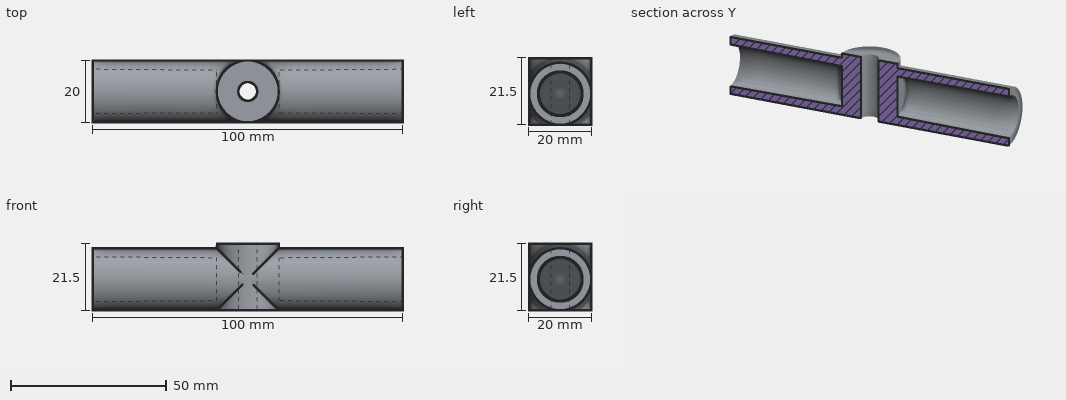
import cadquery as cq

tube_length = 100.0
tube_diameter = 20.0
collar_height = 1.5
pin_hole_diameter = 6.0
bore_mouth_diameter = 14.4
bore_floor_diameter = 13.8
bore_depth = 40.0

tube_radius = tube_diameter / 2
hub_height = tube_diameter + collar_height
tube_end = tube_length / 2


def make_tube():
    """Solid bar along X, centred on the origin."""
    return cq.Workplane("YZ").circle(tube_radius).extrude(tube_end, both=True)


def make_hub():
    """Upright hub, as wide as the tube, standing proud on top only."""
    return (
        cq.Workplane("XY")
        .workplane(offset=-tube_radius)
        .circle(tube_radius)
        .extrude(hub_height)
    )


def make_pin_hole():
    """Cutter for the vertical hole through the hub."""
    return (
        cq.Workplane("XY")
        .workplane(offset=-tube_radius)
        .circle(pin_hole_diameter / 2)
        .extrude(hub_height)
    )


def make_end_bore(side):
    """Cutter for the slightly tapered blind bore at the tube end on the given side (+1 or -1)."""
    mouth_x = side * tube_end
    floor_x = side * (tube_end - bore_depth)
    half_section = [
        (mouth_x, 0),
        (mouth_x, bore_mouth_diameter / 2),
        (floor_x, bore_floor_diameter / 2),
        (floor_x, 0),
    ]
    return (
        cq.Workplane("XZ")
        .polyline(half_section)
        .close()
        .revolve(360, (0, 0), (1, 0))
    )


result = make_tube().union(make_hub()).cut(make_pin_hole())
for side in (-1, 1):
    result = result.cut(make_end_bore(side))